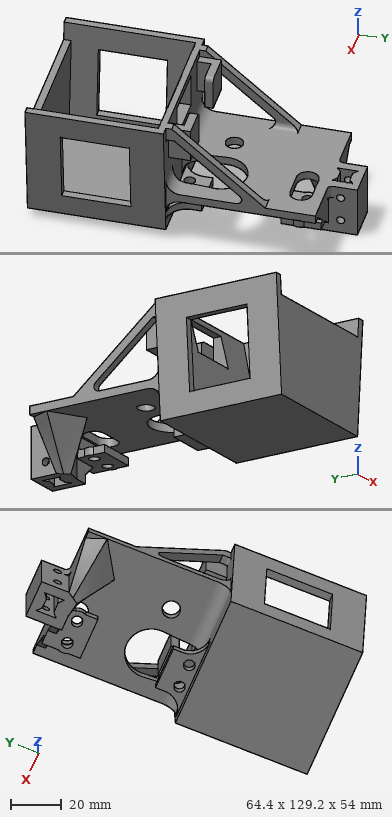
import cadquery as cq
import math


overall_length = 129.2

bin_top_width = 64.4
bin_bottom_width = 56.5
bin_depth = 56.5
bin_height = 50.1
wall = 3.1
cavity_top_width = 58.0
cavity_floor_width = 50.3
back_wall_at_rim = 2.8
back_wall_at_floor = 14.1
front_notch = 8.1
side_window_size = (28.2, 30.5)
side_window_center = (-28.2, 24.5)

plate_width = bin_bottom_width
plate_length = 61.0
plate_thickness = 3.6
plate_top = 18.4
plate_bottom = plate_top - plate_thickness
joint_radius = 5.8

gusset_thickness = 3.5
gusset_length = 40.6
gusset_rim_length = 2.5
gusset_gap_top = 44.5
gusset_gap_rim_length = 3.5
gusset_tip_radius = 2.2
gusset_corner_radius = 1.2
gusset_root_radius = 2.5

clip_width = 48.6
clip_opening = 22.2
clip_bottom = 33.0
clip_top = 47.3
clip_depth = 9.0
clip_bar = 3.5
clip_lead_radius = 2.1

opening_x = 10.2
opening_y = 18.0
cable_radius = 10.5
small_hole_diameter = 7.2

screw_pitch = 10.0
screw_diameter = 4.5
slot_width = 9.0
near_screw_y = 3.7
far_screw_y = 51.8
tab_width = 18.0
tab_bottom = 4.9
tab_top = 8.3
near_tab_end = 12.3
far_tab_end = 44.6
near_tab_root_radius = 8.4
far_tab_root_radius = 2.6

lug_x = -0.4
lug_width = 16.0
lug_left = lug_x - lug_width / 2
lug_right = lug_x + lug_width / 2
lug_end = overall_length - bin_depth
lug_bottom = -3.9
lug_fillet = 2.0
lug_fillet_bottom = 12.8
lug_slot = 8.3
lug_slot_y = 65.6
lug_slot_bulge = 1.7
lug_slot_flat = 4.1
pin_diameter = 3.2
pin_y = 65.9
pin_heights = (2.2, 13.2)

support_wall_y = 57.4
support_wall_top_right = 24.3
flare_toe = (-5.2, 56.2)
flare_shoulder = (-plate_width / 2, 53.0)
flare_knee = (-13.2, 43.5)
flare_heel_x = -25.2


def box_between(x_range, y_range, z_range):
    (x0, x1), (y0, y1), (z0, z1) = x_range, y_range, z_range
    return cq.Workplane("XY").box(x1 - x0, y1 - y0, z1 - z0, centered=False).translate((x0, y0, z0))


def extrude_up(outline, z0, z1):
    return outline.extrude(z1 - z0).translate((0, 0, z0))


def side_prism(points, width):
    """Prism along X, centred on X = 0, from an outline of (Y, Z) points."""
    return cq.Workplane("YZ").polyline(points).close().extrude(width / 2, both=True)


def front_prism(bottom_width, top_width, z0, z1, y0, y1):
    """Trapezoid in X and Z that runs along Y."""
    points = [
        (-bottom_width / 2, z0),
        (bottom_width / 2, z0),
        (top_width / 2, z1),
        (-top_width / 2, z1),
    ]
    outline = cq.Workplane("XZ").polyline(points).close()
    return outline.extrude(y1 - y0).translate((0, y1, 0))


def make_bin():
    body = front_prism(bin_bottom_width, bin_top_width, 0, bin_height, -bin_depth, 0)
    tapered_sides = front_prism(cavity_floor_width, cavity_top_width, wall, bin_height, -bin_depth, 0)
    front_inside = -bin_depth + wall
    notch_bottom = bin_height - front_notch
    sloped_back = side_prism(
        [
            (-back_wall_at_rim, bin_height),
            (-back_wall_at_floor, wall),
            (front_inside, wall),
            (front_inside, notch_bottom),
            (-bin_depth, notch_bottom),
            (-bin_depth, bin_height),
        ],
        bin_top_width,
    )
    side_windows = cq.Workplane("YZ").center(*side_window_center).rect(*side_window_size)
    side_windows = side_windows.extrude(bin_top_width / 2, both=True)
    half = clip_opening / 2
    back_window = box_between((-half, half), (-bin_depth / 2, 0), (clip_bottom, clip_top))
    return body.cut(tapered_sides.intersect(sloped_back)).cut(side_windows).cut(back_window)


def make_plate():
    outline = (
        cq.Workplane("YZ")
        .moveTo(0, plate_top + joint_radius)
        .radiusArc((joint_radius, plate_top), -joint_radius)
        .lineTo(plate_length, plate_top)
        .lineTo(plate_length, plate_bottom)
        .lineTo(joint_radius, plate_bottom)
        .radiusArc((0, plate_bottom - joint_radius), -joint_radius)
        .close()
    )
    return outline.extrude(plate_width / 2, both=True)


def make_gussets():
    slope = (bin_height - plate_top) / (gusset_length - gusset_rim_length)
    gap_length = gusset_gap_rim_length + (gusset_gap_top - plate_top) / slope
    frame = side_prism(
        [
            (0, plate_bottom),
            (gusset_length, plate_bottom),
            (gusset_length, plate_top),
            (gusset_rim_length, bin_height),
            (0, bin_height),
        ],
        plate_width,
    )
    gap = side_prism(
        [
            (0, plate_top),
            (gap_length, plate_top),
            (gusset_gap_rim_length, gusset_gap_top),
            (0, gusset_gap_top),
        ],
        plate_width,
    )
    gap = gap.edges("|X and >Y").fillet(gusset_tip_radius)
    gap = gap.edges("|X and <Y and <Z").fillet(joint_radius)
    gap = gap.edges("|X and <Y and >Z").fillet(gusset_corner_radius)

    outer = plate_width / 2
    inner = outer - gusset_thickness
    root = inner - gusset_root_radius
    section = (
        cq.Workplane("XZ")
        .moveTo(outer, plate_bottom)
        .lineTo(outer, bin_height)
        .lineTo(inner, bin_height)
        .lineTo(inner, plate_top + gusset_root_radius)
        .radiusArc((root, plate_top), gusset_root_radius)
        .lineTo(root, plate_bottom)
        .close()
        .extrude(-gusset_length)
    )
    gusset = section.intersect(frame.cut(gap))
    return gusset.union(gusset.mirror("YZ"))


def make_clip():
    heights = (clip_bottom, clip_top)
    hook = box_between((clip_opening / 2, clip_width / 2), (0, clip_depth), heights)
    hook = hook.edges("|Y and <X and >Z").fillet(clip_lead_radius)
    channel = box_between((0, clip_width / 2 - clip_bar), (0, clip_depth - clip_bar), heights)
    hook = hook.cut(channel)
    return hook.union(hook.mirror("YZ"))


def make_screw_slot(y, z0, z1):
    slot = cq.Workplane("XY").center(opening_x, y).slot2D(screw_pitch + slot_width, slot_width)
    return extrude_up(slot, z0, z1)


def make_screw_holes(y):
    centers = [(opening_x + side * screw_pitch / 2, y) for side in (-1, 1)]
    circles = cq.Workplane("XY").pushPoints(centers).circle(screw_diameter / 2)
    return extrude_up(circles, tab_bottom, tab_top)


def make_cable_opening():
    """Round opening whose straight sides narrow to the near screw slot."""
    slot_radius = slot_width / 2
    slot_center = screw_pitch / 2
    rise = opening_y - near_screw_y
    distance = math.hypot(slot_center, rise)
    lean = math.asin((cable_radius - slot_radius) / distance) - math.atan2(slot_center, rise)
    normal_x = math.cos(lean)
    normal_y = -math.sin(lean)
    round_dx = cable_radius * normal_x
    round_y = opening_y + cable_radius * normal_y
    slot_dx = slot_center + slot_radius * normal_x
    slot_y = near_screw_y + slot_radius * normal_y
    outline = (
        cq.Workplane("XY")
        .moveTo(opening_x + round_dx, round_y)
        .threePointArc((opening_x, opening_y + cable_radius), (opening_x - round_dx, round_y))
        .lineTo(opening_x - slot_dx, slot_y)
        .lineTo(opening_x + slot_dx, slot_y)
        .close()
    )
    z0 = plate_bottom - joint_radius
    z1 = plate_top + joint_radius
    opening = extrude_up(outline, z0, z1).union(make_screw_slot(near_screw_y, z0, z1))
    behind_bin = box_between((-plate_width, plate_width), (0, plate_length), (z0, z1))
    return opening.intersect(behind_bin)


def make_small_hole():
    hole = cq.Workplane("XY").center(-opening_x, opening_y).circle(small_hole_diameter / 2)
    return extrude_up(hole, plate_bottom, plate_top)


def make_near_tab():
    left = opening_x - tab_width / 2
    right = opening_x + tab_width / 2
    radius = near_tab_root_radius
    outline = (
        cq.Workplane("XY")
        .moveTo(left - radius, 0)
        .radiusArc((left, radius), -radius)
        .lineTo(left, near_tab_end)
        .lineTo(right, near_tab_end)
        .lineTo(right, radius)
        .radiusArc((right + radius, 0), -radius)
        .close()
    )
    return extrude_up(outline, tab_bottom, tab_top).cut(make_screw_holes(near_screw_y))


def make_far_tab():
    x_range = (opening_x - tab_width / 2, opening_x + tab_width / 2)
    tab = box_between(x_range, (far_tab_end, plate_length), (tab_bottom, tab_top))
    tab = tab.union(make_screw_slot(far_screw_y, tab_bottom, tab_top))
    return tab.cut(make_screw_holes(far_screw_y))


def loft_up(low_points, low_z, high_points, high_z):
    wires = []
    for points, z in ((low_points, low_z), (high_points, high_z)):
        wires.append(cq.Wire.makePolygon([cq.Vector(x, y, z) for x, y in points], close=True))
    return cq.Workplane(cq.Solid.makeLoft(wires, True))


def make_support():
    """Flare that carries the plate on the left and an upright wall on the right."""
    tab_left = opening_x - tab_width / 2
    wall_corners = [(tab_left, support_wall_y), (lug_right, support_wall_y), (lug_right, plate_length)]
    toe_middle = ((lug_left + flare_toe[0]) / 2, (plate_length + flare_toe[1]) / 2)
    flare = loft_up(
        [(lug_left, plate_length), toe_middle, flare_toe] + wall_corners,
        lug_bottom,
        [(flare_heel_x, plate_length), flare_shoulder, flare_knee] + wall_corners,
        plate_bottom,
    )

    radius = far_tab_root_radius
    section = (
        cq.Workplane("YZ")
        .moveTo(plate_length, 0)
        .lineTo(plate_length, plate_bottom)
        .lineTo(support_wall_y, plate_bottom)
        .lineTo(support_wall_y, tab_top + radius)
        .radiusArc((support_wall_y - radius, tab_top), radius)
        .lineTo(support_wall_y, tab_top)
        .lineTo(support_wall_y, 0)
        .close()
        .extrude(plate_width / 2, both=True)
    )
    extent = (
        cq.Workplane("XZ")
        .polyline(
            [
                (tab_left, 0),
                (lug_right, 0),
                (support_wall_top_right, plate_bottom),
                (tab_left, plate_bottom),
            ]
        )
        .close()
        .extrude(-plate_length)
    )
    return flare.union(section.intersect(extent))


def make_lug():
    lug = box_between((lug_left, lug_right), (plate_length, lug_end), (lug_bottom, plate_top))
    for x, side in ((lug_left, -1), (lug_right, 1)):
        fillet = (
            cq.Workplane("XY")
            .moveTo(x, plate_length)
            .lineTo(x + side * lug_fillet, plate_length)
            .radiusArc((x, plate_length + lug_fillet), side * lug_fillet)
            .close()
        )
        lug = lug.union(extrude_up(fillet, lug_fillet_bottom, plate_top))
    return lug


def make_lug_slot():
    """Square slot narrowed by a blunt ridge on two opposite sides."""
    half = lug_slot / 2
    flat = lug_slot_flat / 2
    ridge = half - lug_slot_bulge
    points = [
        (-half, -half),
        (-flat, -ridge),
        (flat, -ridge),
        (half, -half),
        (half, half),
        (flat, ridge),
        (-flat, ridge),
        (-half, half),
    ]
    outline = cq.Workplane("XY").center(lug_x, lug_slot_y).polyline(points).close()
    return extrude_up(outline, lug_bottom, plate_top)


def make_pin_holes():
    centers = [(pin_y, z) for z in pin_heights]
    return cq.Workplane("YZ").pushPoints(centers).circle(pin_diameter / 2).extrude(lug_width, both=True)


plate = make_plate().union(make_gussets())
plate = plate.cut(make_cable_opening()).cut(make_small_hole())
plate = plate.cut(make_screw_slot(far_screw_y, plate_bottom, plate_top))
end_lug = make_lug().union(make_support()).cut(make_lug_slot()).cut(make_pin_holes())
result = make_bin().union(plate).union(make_clip()).union(make_near_tab())
result = result.union(end_lug).union(make_far_tab())